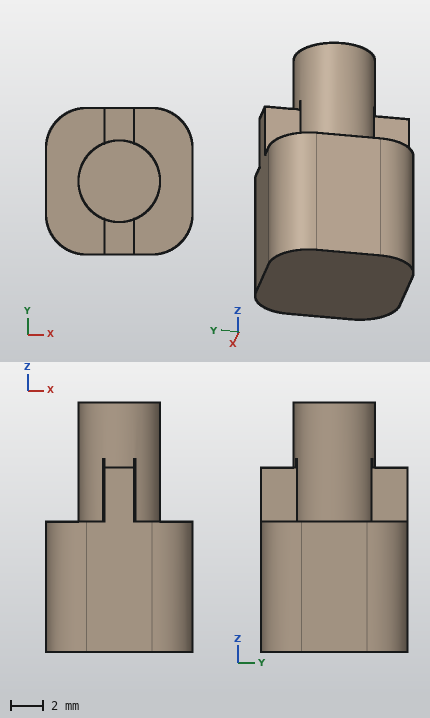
import cadquery as cq
import math

total_height = 15.3
body_width = 9.0
body_height = 8.0
corner_radius = 2.5
pin_diameter = 5.0
rib_width = 1.8
rib_height = 3.3
slit_outer_width = 2.0
slit_height = 3.82

pin_radius = pin_diameter / 2
pin_height = total_height - body_height
slit_width = (slit_outer_width - rib_width) / 2
slit_offset = (rib_width + slit_width) / 2
slit_floor_y = math.sqrt(pin_radius**2 - (slit_outer_width / 2) ** 2)
slit_cut_depth = pin_radius - slit_floor_y
slit_center_y = (pin_radius + slit_floor_y) / 2


def make_body():
    """Square block with rounded vertical corners, standing on Z = 0."""
    block = cq.Workplane("XY").rect(body_width, body_width).extrude(body_height)
    return block.edges("|Z").fillet(corner_radius)


def make_slit(side, end):
    """Shallow flat-bottomed slit in the pin wall, next to one side of the rib at one end."""
    return (
        cq.Workplane("XY", origin=(side * slit_offset, end * slit_center_y, body_height))
        .rect(slit_width, slit_cut_depth)
        .extrude(slit_height)
    )


def make_pin():
    """Round pin on top of the body, with slits on both sides of the rib at both ends."""
    pin = cq.Workplane("XY", origin=(0, 0, body_height)).circle(pin_radius).extrude(pin_height)
    for side in (-1, 1):
        for end in (-1, 1):
            pin = pin.cut(make_slit(side, end))
    return pin


def make_rib():
    """Rib across the full width of the body, passing through the pin."""
    return (
        cq.Workplane("XY", origin=(0, 0, body_height))
        .rect(rib_width, body_width)
        .extrude(rib_height)
    )


result = make_body().union(make_pin()).union(make_rib())